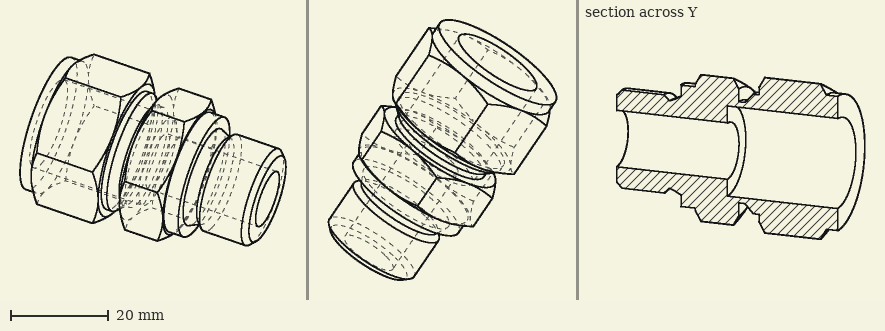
import cadquery as cq
import math


hex_sides = 6
nut_across_flats = 28.6
body_hex_across_flats = 27.0
hex_chamfer_angle = 30.0

nut_hex_start = 2.5
nut_hex_end = 17.5
collar_end = 18.75
neck_start = 20.6
body_hex_start = 21.9
body_hex_end = 31.6
sealing_flange_end = 34.8
relief_end = 37.3
overall_length = 49.0

nut_rim_diameter = nut_across_flats
collar_diameter = 25.5
neck_diameter = 21.6
sealing_flange_diameter = 25.9
thread_diameter = 20.955
thread_root_diameter = 18.6
thread_chamfer = (thread_diameter - thread_root_diameter) / 2

tube_socket_diameter = 19.05
tube_socket_depth = 24.4
through_bore_diameter = 11.9


def cylinder(start, end, diameter):
    """Cylinder on the X axis between two stations."""
    return cq.Workplane("YZ", origin=(start, 0, 0)).circle(diameter / 2).extrude(end - start)


def cone(start, end, start_diameter, end_diameter):
    """Truncated cone on the X axis between two stations."""
    half_section = [
        (start, 0),
        (start, start_diameter / 2),
        (end, end_diameter / 2),
        (end, 0),
    ]
    return cq.Workplane("XY").polyline(half_section).close().revolve(360, (0, 0, 0), (1, 0, 0))


def chamfered_hexagon(start, end, across_flats):
    """Hexagon with corners on +Z and -Z, both ends turned down to the flats."""
    across_corners = across_flats / math.cos(math.pi / hex_sides)
    prism = (
        cq.Workplane("YZ", origin=(start, 0, 0))
        .polygon(hex_sides, across_corners)
        .extrude(end - start)
        .rotate((0, 0, 0), (1, 0, 0), 90)
    )
    corner_height = (across_corners - across_flats) / 2
    chamfer_length = corner_height * math.tan(math.radians(hex_chamfer_angle))
    envelope = (
        cone(start, start + chamfer_length, across_flats, across_corners)
        .union(cylinder(start + chamfer_length, end - chamfer_length, across_corners))
        .union(cone(end - chamfer_length, end, across_corners, across_flats))
    )
    return prism.intersect(envelope)


def nut():
    rim = cylinder(0, nut_hex_start, nut_rim_diameter)
    return rim.union(chamfered_hexagon(nut_hex_start, nut_hex_end, nut_across_flats))


def body():
    collar = cylinder(nut_hex_end, collar_end, collar_diameter)
    taper = cone(collar_end, neck_start, collar_diameter, neck_diameter)
    neck = cylinder(neck_start, body_hex_start, neck_diameter)
    hexagon = chamfered_hexagon(body_hex_start, body_hex_end, body_hex_across_flats)
    flange = cylinder(body_hex_end, sealing_flange_end, sealing_flange_diameter)
    return collar.union(taper).union(neck).union(hexagon).union(flange)


def threaded_end():
    thread_start = relief_end + thread_chamfer
    thread_end = overall_length - thread_chamfer
    relief = cone(sealing_flange_end, relief_end, thread_diameter, thread_root_diameter)
    lead_out = cone(relief_end, thread_start, thread_root_diameter, thread_diameter)
    thread = cylinder(thread_start, thread_end, thread_diameter)
    lead_in = cone(thread_end, overall_length, thread_diameter, thread_root_diameter)
    return relief.union(lead_out).union(thread).union(lead_in)


through_bore = cylinder(0, overall_length, through_bore_diameter)
tube_socket = cylinder(0, tube_socket_depth, tube_socket_diameter)

result = nut().union(body()).union(threaded_end()).cut(through_bore).cut(tube_socket)